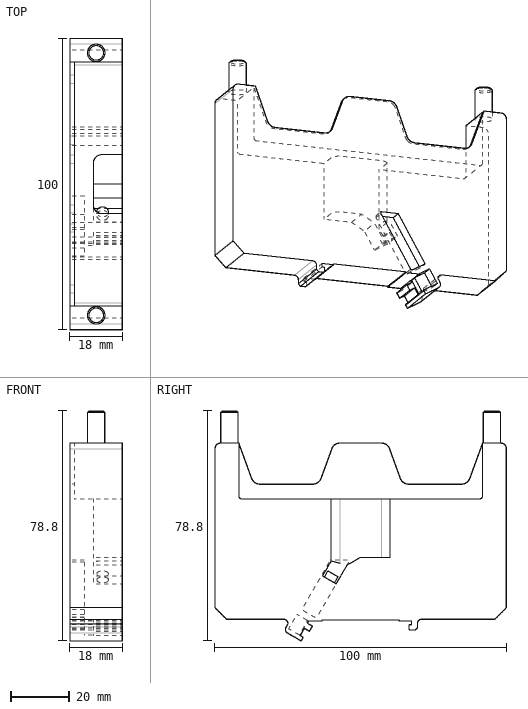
import cadquery as cq
import math

THICKNESS = 18.0
LENGTH = 100.0
BODY_HEIGHT = 60.5
END_FILLET = 2.0
FOOT_CHAMFER = 4.0

PLATE_THICKNESS = 1.5
NOTCH_CENTRE = 25.5
NOTCH_TOP_HALF = 16.3
NOTCH_DEPTH = 14.1
NOTCH_ANGLE = 20.0
NOTCH_FILLET = 3.0
DECK_DEPTH = 19.2
DECK_HALF_LENGTH = NOTCH_CENTRE + NOTCH_TOP_HALF
DECK_FILLET = 1.0

SEAT_HOOK_Y = 17.4
SEAT_INNER_HALF = 13.2
SEAT_DROP = 0.3
SEAT_END_DROP = 0.6

HOOK_OUTER_Y = 19.5
HOOK_TIP_Y = 16.5
HOOK_TIP_TOP = -1.8
HOOK_BOTTOM = -3.7
HOOK_CHAMFER = 0.8
HOOK_ROUND = 0.5
ROOT_FILLET = 1.4

CLIP_ORIGIN_Y = -18.2
CLIP_ORIGIN_Z = -0.4
CLIP_TILT = math.radians(30)

CLIP_WIDTH = 5.3
CLIP_JAW_REACH = 1.6
CLIP_JAW_TOP = 5.7
CLIP_END = 7.2
CLIP_CORNER_FILLET = 1.5
JAW_TIP_FILLET = 0.3
CLIP_SHOULDER_Y = -25.0
WINDOW_WIDTH = 4.2
TAB_REACH = 2.4
TAB_TOP = 0.8
TAB_BOTTOM = 2.9
TAB_X = 8.0
BACKING_REACH = 0.4

RECESS_DEPTH = 5.0

SLOT_LEFT = -2.2
SLOT_RIGHT = 3.6
SLOT_END = -2.2
SLOT_TOP_Z = 20.3
SLOT_CORNER_Y = -4.1
SLOT_CHAMFER = 0.5

POCKET_X = 8.0
POCKET_HALF_LENGTH = 10.1
POCKET_FILLET = 3.0
POCKET_RAMP_Y = -4.7
POCKET_RAMP_ANGLE = math.radians(30)
CHANNEL_ROOF = 3.2
CHANNEL_END = -15.8
BOSS_X = 11.2
BOSS_RADIUS = 2.0
BOSS_HEIGHT = 2.4

PIN_DIAMETER = 6.0
PIN_LENGTH = 10.9
PIN_CHAMFER = 0.5
PIN_Y = 45.0

HALF_LENGTH = LENGTH / 2
DECK_Z = BODY_HEIGHT - DECK_DEPTH
SIN_TILT = math.sin(CLIP_TILT)
COS_TILT = math.cos(CLIP_TILT)


def clip_point(u, v):
    """Y, Z of a point given across (u) and along (v) the slanted clip."""
    y = CLIP_ORIGIN_Y - u * COS_TILT - v * SIN_TILT
    z = CLIP_ORIGIN_Z + u * SIN_TILT - v * COS_TILT
    return y, z


def clip_v_at_z(u, z):
    """Position along the clip where the line at u reaches the height z."""
    return (CLIP_ORIGIN_Z + u * SIN_TILT - z) / COS_TILT


def clip_v_at_y(u, y):
    """Position along the clip where the line at u reaches the given Y."""
    return (CLIP_ORIGIN_Y - u * COS_TILT - y) / SIN_TILT


def prism(points, x_start, x_end):
    """Straight prism along X over a closed Y, Z outline."""
    plane = cq.Workplane("YZ").workplane(offset=x_start)
    return plane.polyline(points).close().extrude(x_end - x_start)


def rectangle_prism(y_low, z_low, y_high, z_high, x_start, x_end):
    """Prism along X over an upright Y, Z rectangle."""
    corners = [(y_low, z_low), (y_high, z_low), (y_high, z_high), (y_low, z_high)]
    return prism(corners, x_start, x_end)


def clip_prism(u_low, v_low, u_high, v_high, x_start, x_end):
    """Prism along X over a rectangle in the clip frame."""
    corners = [(u_low, v_low), (u_high, v_low), (u_high, v_high), (u_low, v_high)]
    return prism([clip_point(u, v) for u, v in corners], x_start, x_end)


def edge_at(y, z, x=THICKNESS / 2):
    """Selector for the edge along X nearest to a Y, Z point."""
    return cq.NearestToPointSelector((x, y, z))


def make_block():
    """Plain slab with rounded top ends and chamfered lower ends."""
    block = rectangle_prism(-HALF_LENGTH, 0, HALF_LENGTH, BODY_HEIGHT, 0, THICKNESS)
    for y in (-HALF_LENGTH, HALF_LENGTH):
        block = block.edges(edge_at(y, BODY_HEIGHT)).fillet(END_FILLET)
        block = block.edges(edge_at(y, 0)).chamfer(FOOT_CHAMFER)
    return block


def cut_notch(body, side):
    """Sloped notch through the slab; side is +1 or -1 along Y."""
    bottom_half = NOTCH_TOP_HALF - NOTCH_DEPTH * math.tan(math.radians(NOTCH_ANGLE))
    floor_z = BODY_HEIGHT - NOTCH_DEPTH
    centre = side * NOTCH_CENTRE
    outline = [
        (centre - NOTCH_TOP_HALF, BODY_HEIGHT),
        (centre - bottom_half, floor_z),
        (centre + bottom_half, floor_z),
        (centre + NOTCH_TOP_HALF, BODY_HEIGHT),
    ]
    body = body.cut(prism(outline, 0, THICKNESS))
    rounded = [
        (centre - bottom_half, floor_z),
        (centre + bottom_half, floor_z),
        (centre - side * NOTCH_TOP_HALF, BODY_HEIGHT),
    ]
    for y, z in rounded:
        body = body.edges(edge_at(y, z)).fillet(NOTCH_FILLET)
    return body


def cut_deck(body):
    """Lower everything behind the side plate down to a flat deck between the ends."""
    cutter = rectangle_prism(
        -DECK_HALF_LENGTH, DECK_Z, DECK_HALF_LENGTH, BODY_HEIGHT, PLATE_THICKNESS, THICKNESS
    )
    for y in (-DECK_HALF_LENGTH, DECK_HALF_LENGTH):
        cutter = cutter.edges(edge_at(y, DECK_Z)).fillet(DECK_FILLET)
    return body.cut(cutter)


def make_rail_seat():
    """Shallow strip under the body, thicker at both ends."""
    outline = [
        (CLIP_ORIGIN_Y, 0),
        (CLIP_ORIGIN_Y, -SEAT_END_DROP),
        (-SEAT_INNER_HALF, -SEAT_END_DROP),
        (-SEAT_INNER_HALF, -SEAT_DROP),
        (SEAT_INNER_HALF, -SEAT_DROP),
        (SEAT_INNER_HALF, -SEAT_END_DROP),
        (SEAT_HOOK_Y, -SEAT_END_DROP),
        (SEAT_HOOK_Y, 0),
    ]
    return prism(outline, 0, THICKNESS)


def make_fixed_hook():
    """Hook that grips the first rail edge."""
    outline = [
        (HOOK_OUTER_Y, 0),
        (HOOK_OUTER_Y, HOOK_BOTTOM),
        (HOOK_TIP_Y, HOOK_BOTTOM),
        (HOOK_TIP_Y, HOOK_TIP_TOP),
        (SEAT_HOOK_Y, HOOK_TIP_TOP),
        (SEAT_HOOK_Y, 0),
    ]
    hook = prism(outline, 0, THICKNESS)
    hook = hook.edges(edge_at(HOOK_OUTER_Y, HOOK_BOTTOM)).chamfer(HOOK_CHAMFER)
    for z in (HOOK_BOTTOM, HOOK_TIP_TOP):
        hook = hook.edges(edge_at(HOOK_TIP_Y, z)).fillet(HOOK_ROUND)
    return hook


def make_rail_clip():
    """Slanted clip with a jaw, rounded at its outer corner, and a neck into the body."""
    outline = [
        clip_point(0, 0),
        clip_point(0, CLIP_JAW_TOP),
        clip_point(-CLIP_JAW_REACH, CLIP_JAW_TOP),
        clip_point(-CLIP_JAW_REACH, CLIP_END),
        clip_point(CLIP_WIDTH, CLIP_END),
        clip_point(CLIP_WIDTH, clip_v_at_y(CLIP_WIDTH, CLIP_SHOULDER_Y)),
        (CLIP_SHOULDER_Y, 0),
        (CLIP_ORIGIN_Y, 0),
    ]
    clip = prism(outline, 0, THICKNESS)
    clip = clip.edges(edge_at(*clip_point(CLIP_WIDTH, CLIP_END))).fillet(CLIP_CORNER_FILLET)
    jaw_tip = edge_at(*clip_point(-CLIP_JAW_REACH, CLIP_JAW_TOP))
    return clip.edges(jaw_tip).fillet(JAW_TIP_FILLET)


def make_clip_tab():
    """Small tab and its thin backing on the rail side of the clip, set back behind the window."""
    tab = clip_prism(-TAB_REACH, TAB_TOP, 0, TAB_BOTTOM, TAB_X, THICKNESS)
    backing = clip_prism(-BACKING_REACH, 0, 0, CLIP_JAW_TOP, TAB_X, THICKNESS)
    return tab.union(backing)


def cut_clip_window(body):
    """Recess in the side face of the clip, open toward the rail."""
    window = clip_prism(0, 0, WINDOW_WIDTH, CLIP_JAW_TOP, 0, RECESS_DEPTH)
    return body.cut(window)


def cut_slot(body):
    """Blind slanted slot in the side face, with a level upper end."""
    outline = [
        (SLOT_CORNER_Y, SLOT_TOP_Z),
        clip_point(SLOT_LEFT, clip_v_at_y(SLOT_LEFT, SLOT_CORNER_Y)),
        clip_point(SLOT_LEFT, SLOT_END),
        clip_point(SLOT_RIGHT, SLOT_END),
        clip_point(SLOT_RIGHT, clip_v_at_z(SLOT_RIGHT, SLOT_TOP_Z)),
    ]
    slot = prism(outline, 0, RECESS_DEPTH)
    lower_corner = edge_at(*clip_point(SLOT_LEFT, SLOT_END), RECESS_DEPTH / 2)
    slot = slot.edges(lower_corner).chamfer(SLOT_CHAMFER)
    return body.cut(slot)


def cut_pocket(body):
    """Rounded pocket in the deck whose floor steps down a ramp into a slanted channel."""
    ramp_foot = clip_point(SLOT_LEFT, clip_v_at_y(SLOT_LEFT, POCKET_RAMP_Y))
    floor_z = ramp_foot[1] - POCKET_RAMP_Y * math.tan(POCKET_RAMP_ANGLE)
    valley = clip_point(SLOT_LEFT, CHANNEL_END)
    roof_end = clip_point(CHANNEL_ROOF, CHANNEL_END)
    roof_start = clip_point(CHANNEL_ROOF, clip_v_at_y(CHANNEL_ROOF, -POCKET_HALF_LENGTH))
    profile = [
        (POCKET_HALF_LENGTH, DECK_Z),
        (POCKET_HALF_LENGTH, floor_z),
        (0, floor_z),
        ramp_foot,
        valley,
        (-POCKET_HALF_LENGTH, valley[1]),
        (-POCKET_HALF_LENGTH, DECK_Z),
    ]
    shaft = prism(profile, POCKET_X, THICKNESS)
    shaft_plan = (
        cq.Workplane("XY")
        .box(2 * (THICKNESS - POCKET_X), 2 * POCKET_HALF_LENGTH, DECK_Z, centered=(True, True, False))
        .translate((THICKNESS, 0, 0))
        .edges("|Z and <X")
        .fillet(POCKET_FILLET)
    )
    channel_end = prism([ramp_foot, valley, roof_end, roof_start], POCKET_X, THICKNESS)
    below_channel = prism(
        [valley, roof_end, (roof_end[0], 0), (valley[0], 0)], POCKET_X, THICKNESS
    )
    cutter = shaft.intersect(shaft_plan).cut(below_channel).union(channel_end)
    return body.cut(cutter)


def make_channel_boss():
    """Round boss standing on the end face of the slanted channel."""
    y, z = clip_point((SLOT_LEFT + CHANNEL_ROOF) / 2, CHANNEL_END)
    axis = cq.Vector(0, SIN_TILT, COS_TILT)
    boss = cq.Solid.makeCylinder(BOSS_RADIUS, BOSS_HEIGHT, cq.Vector(BOSS_X, y, z), axis)
    return cq.Workplane("XY").add(boss)


def make_housing():
    body = make_block()
    for side in (-1, 1):
        body = cut_notch(body, side)
    body = cut_deck(body)
    for part in (make_rail_seat(), make_fixed_hook(), make_rail_clip(), make_clip_tab()):
        body = body.union(part)
    for y in (HOOK_OUTER_Y, CLIP_SHOULDER_Y):
        body = body.edges(edge_at(y, 0)).fillet(ROOT_FILLET)
    body = cut_clip_window(body)
    body = cut_slot(body)
    body = cut_pocket(body)
    return body.union(make_channel_boss())


def make_pin(y):
    """Upright pin standing on the top face, chamfered at its upper end."""
    return (
        cq.Workplane("XY")
        .workplane(offset=BODY_HEIGHT)
        .center(THICKNESS / 2, y)
        .circle(PIN_DIAMETER / 2)
        .extrude(PIN_LENGTH)
        .faces(">Z")
        .chamfer(PIN_CHAMFER)
    )


housing = make_housing()
pins = [make_pin(y) for y in (-PIN_Y, PIN_Y)]

result = cq.Compound.makeCompound([housing.solids().val(), *[pin.val() for pin in pins]])